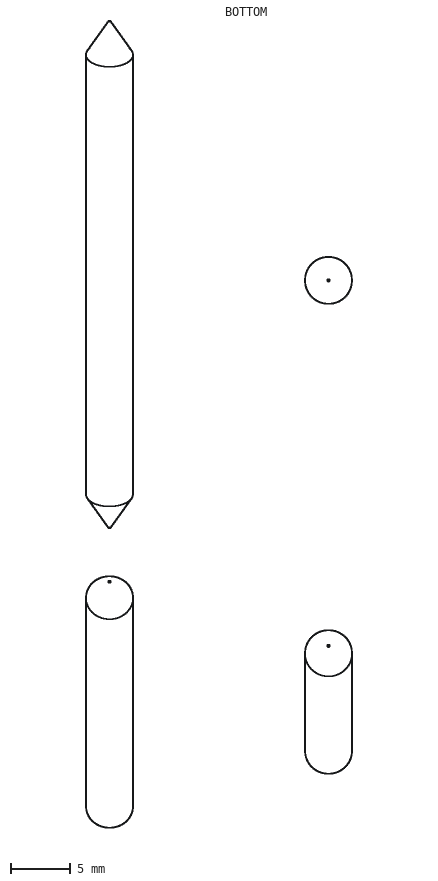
import cadquery as cq
import math

length = 50.0
radius = 2.0
tip_radius = 0.1
tip_angle = 60.0

tip_height = (radius - tip_radius) / math.tan(math.radians(tip_angle / 2))
half_length = length / 2
shoulder = half_length - tip_height

result = (
    cq.Workplane("XZ")
    .moveTo(0, -half_length)
    .lineTo(tip_radius, -half_length)
    .lineTo(radius, -shoulder)
    .lineTo(radius, shoulder)
    .lineTo(tip_radius, half_length)
    .lineTo(0, half_length)
    .close()
    .revolve(360, (0, 0, 0), (0, 1, 0))
)